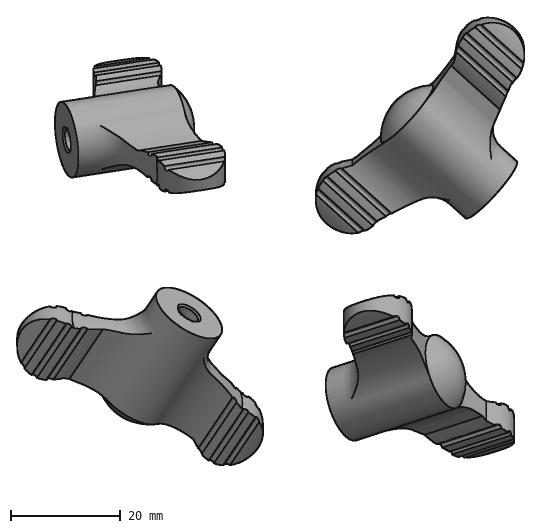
import cadquery as cq
import math

hub_radius = 7.0
hub_length = 21.0
overall_depth = 24.0
bore_diameter = 4.15
bore_depth = 12.5
bore_chamfer = 0.35

wing_tip = 25.0
head_radius = 6.25
head_x = wing_tip - head_radius
head_y = overall_depth - head_radius
neck_top = (13.65, 21.9)
head_top_angle = math.radians(127)

flare_start = 4.0
flare_radius = 4.8
flare_end_radius = 18.0
flare_angle = math.radians(20)

upper_root_x = 4.75
upper_root_mid = (7.0, 3.7)
upper_neck_start = (9.85, 2.8)
upper_neck_end = (12.6, 2.6)
upper_rise_mid = (14.75, 3.35)
upper_crest = (17.3, 3.7)
upper_tip_mid = (21.25, 3.25)
upper_tip_z = 1.6
lower_tip_z = -0.65
lower_tip_mid = (22.05, -1.8)
lower_crest = (18.75, -2.15)
lower_rise_mid = (16.8, -2.0)
lower_neck_end = (14.85, -1.55)
lower_neck_mid = (10.0, -1.6)
lower_root_x = 5.5

groove_radius = 0.55
groove_pitch = 2.85
groove_centre_x = 18.7


def on_hub(x):
    """Height of the hub surface at a given x."""
    return math.sqrt(hub_radius**2 - x**2)


def arc_height(start, middle, end, x, side):
    """Height at x on the upper (side=1) or lower (side=-1) half of a three-point circle."""
    (ax, az), (bx, bz), (cx, cz) = start, middle, end
    a2, b2, c2 = ax**2 + az**2, bx**2 + bz**2, cx**2 + cz**2
    d = 2 * (ax * (bz - cz) + bx * (cz - az) + cx * (az - bz))
    centre_x = (a2 * (bz - cz) + b2 * (cz - az) + c2 * (az - bz)) / d
    centre_z = (a2 * (cx - bx) + b2 * (ax - cx) + c2 * (bx - ax)) / d
    radius = math.hypot(ax - centre_x, az - centre_z)
    return centre_z + side * math.sqrt(radius**2 - (x - centre_x)**2)


def extrude_along_y(section):
    """Extrude an XZ section over the full depth, from y = 0 towards +Y."""
    return section.extrude(-overall_depth)


def make_hub():
    """Cylinder with a spherical dome, revolved about Y."""
    dome_height = overall_depth - hub_length
    dome_radius = (hub_radius**2 + dome_height**2) / (2 * dome_height)
    half_angle = math.asin(hub_radius / dome_radius) / 2
    dome_mid = (
        dome_radius * math.sin(half_angle),
        overall_depth - dome_radius * (1 - math.cos(half_angle)),
    )
    return (
        cq.Workplane("XY")
        .lineTo(hub_radius, 0)
        .lineTo(hub_radius, hub_length)
        .threePointArc(dome_mid, (0, overall_depth))
        .close()
        .revolve(360, (0, 0, 0), (0, 1, 0))
    )


def make_section():
    """Waisted wing cross-section, swept straight along Y."""
    section = (
        cq.Workplane("XZ")
        .lineTo(upper_root_x, on_hub(upper_root_x))
        .threePointArc(upper_root_mid, upper_neck_start)
        .lineTo(*upper_neck_end)
        .threePointArc(upper_rise_mid, upper_crest)
        .threePointArc(upper_tip_mid, (wing_tip, upper_tip_z))
        .lineTo(wing_tip, lower_tip_z)
        .threePointArc(lower_tip_mid, lower_crest)
        .threePointArc(lower_rise_mid, lower_neck_end)
        .threePointArc(lower_neck_mid, (lower_root_x, -on_hub(lower_root_x)))
        .close()
    )
    return extrude_along_y(section)


def make_outline():
    """Wing outline with a round head, extruded along Z."""
    head_top = (
        head_x + head_radius * math.cos(head_top_angle),
        head_y + head_radius * math.sin(head_top_angle),
    )
    return (
        cq.Workplane("XY")
        .moveTo(0, flare_start)
        .lineTo(head_x, flare_start)
        .lineTo(head_x, head_y - head_radius)
        .threePointArc((wing_tip, head_y), head_top)
        .lineTo(*neck_top)
        .lineTo(hub_radius, hub_length)
        .lineTo(0, hub_length)
        .close()
        .extrude(hub_radius, both=True)
    )


def make_flare():
    """Body of revolution whose front face sweeps from the hub out to the head."""
    centre_x = hub_radius + flare_radius

    def flare_point(angle):
        return (
            centre_x - flare_radius * math.sin(angle),
            flare_start + flare_radius * math.cos(angle),
        )

    middle_angle = (flare_angle + math.pi / 2) / 2
    head_bottom = head_y - head_radius
    outer_radius = wing_tip + hub_radius
    return (
        cq.Workplane("XY")
        .moveTo(0, flare_start)
        .lineTo(hub_radius, flare_start)
        .threePointArc(flare_point(middle_angle), flare_point(flare_angle))
        .lineTo(flare_end_radius, head_bottom)
        .lineTo(outer_radius, head_bottom)
        .lineTo(outer_radius, overall_depth)
        .lineTo(0, overall_depth)
        .close()
        .revolve(360, (0, 0, 0), (0, 1, 0))
    )


def make_grooves():
    """Three round grooves on each face of the wing, centred on its surface."""
    upper_tip = (wing_tip, upper_tip_z)
    lower_tip = (wing_tip, lower_tip_z)
    inner_x = groove_centre_x - groove_pitch
    outer_x = groove_centre_x + groove_pitch
    centres = [
        (inner_x, arc_height(upper_neck_end, upper_rise_mid, upper_crest, inner_x, 1)),
        (inner_x, arc_height(lower_neck_end, lower_rise_mid, lower_crest, inner_x, -1)),
    ]
    for x in (groove_centre_x, outer_x):
        centres.append((x, arc_height(upper_crest, upper_tip_mid, upper_tip, x, 1)))
        centres.append((x, arc_height(lower_crest, lower_tip_mid, lower_tip, x, -1)))
    return extrude_along_y(cq.Workplane("XZ").pushPoints(centres).circle(groove_radius))


def make_bore():
    """Blind bore with a chamfered mouth."""
    bore_radius = bore_diameter / 2
    return (
        cq.Workplane("XY")
        .lineTo(bore_radius + bore_chamfer, 0)
        .lineTo(bore_radius, bore_chamfer)
        .lineTo(bore_radius, bore_depth)
        .lineTo(0, bore_depth)
        .close()
        .revolve(360, (0, 0, 0), (0, 1, 0))
    )


right_wing = make_section().intersect(make_outline()).intersect(make_flare()).cut(make_grooves())
left_wing = right_wing.rotate((0, 0, 0), (0, 1, 0), 180)

result = make_hub().union(right_wing).union(left_wing).cut(make_bore())